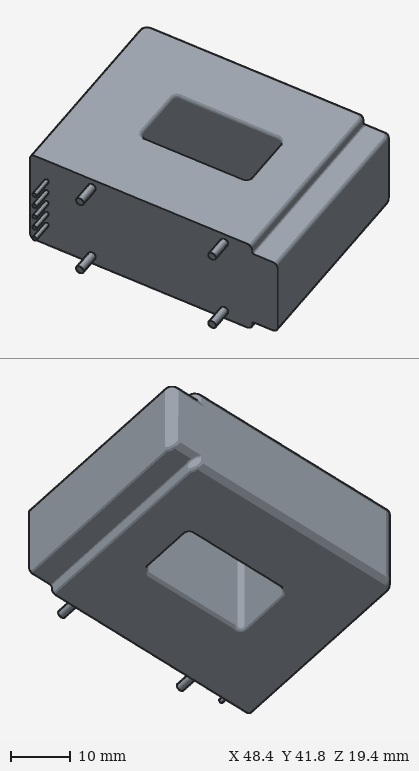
import cadquery as cq

width = 48.4
depth = 37.75
height = 19.4

step_x = 43.4
step_depth = 1.8

back_radius = 2.0
corner_radius = 1.0
step_root_radius = 0.5

window_width = 21.0
window_length = 11.6
window_x = 24.05
window_y = 19.35
window_corner_radius = 1.0
window_rim_radius = 1.0

pin_length = 4.0
mount_pin_diameter = 1.5
mount_pin_x_positions = (12.15, 38.0)
mount_pin_z = 7.9
signal_pin_diameter = 0.8
signal_pin_x = 3.3
signal_pin_pitch = 2.5
signal_pin_count = 5

half_height = height / 2
end_half_height = half_height - step_depth

edge_tolerance = 0.05
rim_reach_x = window_width / 2 + edge_tolerance
rim_reach_y = window_length / 2 + edge_tolerance


def edges_along_depth(x, half_z):
    """Select the depthwise edges of the block at one X, top and bottom."""
    lower_box, upper_box = [
        cq.selectors.BoxSelector(
            (x - edge_tolerance, -edge_tolerance, z - edge_tolerance),
            (x + edge_tolerance, depth + edge_tolerance, z + edge_tolerance),
            boundingbox=True,
        )
        for z in (-half_z, half_z)
    ]
    return lower_box + upper_box


def make_block():
    """Stepped block with a rounded back and rounded depthwise edges."""
    upper_outline = [
        (0, half_height),
        (step_x, half_height),
        (step_x, end_half_height),
        (width, end_half_height),
    ]
    lower_outline = [(x, -z) for x, z in reversed(upper_outline)]
    block = (
        cq.Workplane("XZ")
        .polyline(upper_outline + lower_outline)
        .close()
        .extrude(-depth)
    )
    block = block.faces(">Y").edges().fillet(back_radius)
    block = block.edges(edges_along_depth(step_x, end_half_height)).fillet(step_root_radius)
    for x, half_z in ((0, half_height), (step_x, half_height), (width, end_half_height)):
        block = block.edges(edges_along_depth(x, half_z)).fillet(corner_radius)
    return block


def make_housing():
    """Block with a rectangular through window whose rims are rounded on both faces."""
    block = make_block()
    window = (
        cq.Workplane("XY", origin=(window_x, window_y, -half_height))
        .rect(window_width, window_length)
        .extrude(height)
        .edges("|Z")
        .fillet(window_corner_radius)
    )
    housing = block.cut(window)
    rims = cq.selectors.BoxSelector(
        (window_x - rim_reach_x, window_y - rim_reach_y, -height),
        (window_x + rim_reach_x, window_y + rim_reach_y, height),
        boundingbox=True,
    )
    return housing.edges(rims).edges("not |Z").fillet(window_rim_radius)


def make_pin(diameter, x, z):
    """Round pin standing out of the front face."""
    return cq.Workplane("XZ").center(x, z).circle(diameter / 2).extrude(pin_length)


housing = make_housing()

mount_pins = [
    make_pin(mount_pin_diameter, x, z)
    for x in mount_pin_x_positions
    for z in (-mount_pin_z, mount_pin_z)
]

signal_pin_middle_index = (signal_pin_count - 1) / 2
signal_pins = [
    make_pin(signal_pin_diameter, signal_pin_x, (index - signal_pin_middle_index) * signal_pin_pitch)
    for index in range(signal_pin_count)
]

pins = mount_pins + signal_pins
result = cq.Compound.makeCompound([housing.val(), *[pin.val() for pin in pins]])